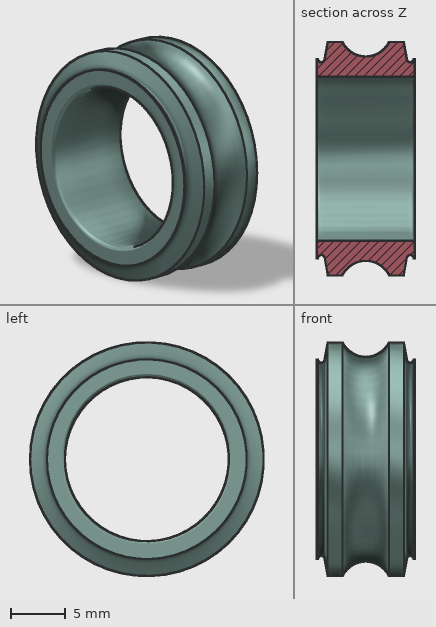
import cadquery as cq

width = 9.0
outer_radius = 10.7
bore_radius = 7.5
bore_fillet = 0.3

track_half_width = 2.15
track_depth = 1.33

flange_edge_x = 3.5

lip_radius = 9.15
lip_width = 0.13
groove_half_width = 0.3
groove_depth = 0.3

half_width = width / 2
lip_inner_x = half_width - lip_width
groove_center_x = lip_inner_x - groove_half_width
groove_inner_x = groove_center_x - groove_half_width
groove_floor_radius = lip_radius - groove_depth


def ring_blank():
    """Revolve the outer profile, leaving a plain bore."""
    profile = (
        cq.Workplane("XY")
        .moveTo(-half_width, bore_radius)
        .lineTo(-half_width, lip_radius)
        .lineTo(-lip_inner_x, lip_radius)
        .threePointArc((-groove_center_x, groove_floor_radius), (-groove_inner_x, lip_radius))
        .lineTo(-flange_edge_x, outer_radius)
        .lineTo(-track_half_width, outer_radius)
        .threePointArc((0, outer_radius - track_depth), (track_half_width, outer_radius))
        .lineTo(flange_edge_x, outer_radius)
        .lineTo(groove_inner_x, lip_radius)
        .threePointArc((groove_center_x, groove_floor_radius), (lip_inner_x, lip_radius))
        .lineTo(half_width, lip_radius)
        .lineTo(half_width, bore_radius)
        .close()
    )
    return profile.revolve(360, (0, 0, 0), (1, 0, 0))


def round_bore_edges(ring):
    """Round the bore where it meets both end faces."""
    bore_edges = ring.faces("<X or >X").edges(cq.selectors.RadiusNthSelector(0))
    return bore_edges.fillet(bore_fillet)


result = round_bore_edges(ring_blank())